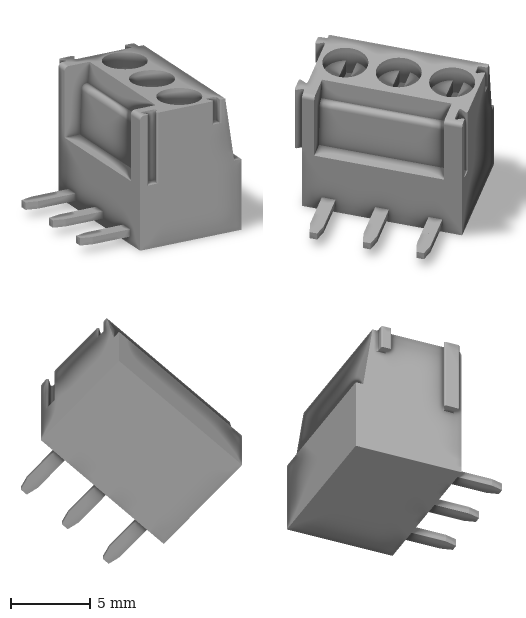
import cadquery as cq

overall_length = 11.1
pitch = 3.5
pole_count = 3
block_length = pole_count * pitch
block_depth = 7.3
block_height = 9.1
front_edge_radius = 0.3

rear_step_height = 4.8
rear_step_y = 6.79
rear_slope_top_y = 6.15

pole_x = [(pole + 0.5) * pitch for pole in range(pole_count)]

recess_left_margin = 0.8
recess_right_margin = 1.2
recess_floor_z = block_height - 4.8
ledge_z = block_height - 1.4
ledge_radius = 0.4
recess_top_y = 1.8
ledge_back_y = 1.65
ledge_front_y = 1.22
recess_floor_back_y = 1.1

screw_diameter = 2.9
screw_y = 3.81
well_depth = 1.04
slot_width = 0.7
slot_depth = 1.0

pin_width = 0.9
pin_tip_width = 0.5
pin_thickness = 0.5
pin_bottom_z = 0.51
pin_length = pitch
pin_taper_length = 0.8

key_depth = overall_length - block_length
key_tip_radius = 0.11
key_root_radius = 0.1
key_flare = 0.38
front_key_y = 0.91
front_key_neck_width = 0.47
front_key_height = 4.8
rear_key_back_y = 5.79
rear_key_neck_width = 0.41
rear_key_height = 1.58
root_search_margin = 0.01


def block_body():
    """Side profile extruded along the full row, with the front top edge rounded."""
    profile = [
        (0, 0),
        (block_depth, 0),
        (block_depth, rear_step_height),
        (rear_step_y, rear_step_height),
        (rear_slope_top_y, block_height),
        (0, block_height),
    ]
    body = cq.Workplane("YZ").polyline(profile).close().extrude(block_length)
    return body.edges("|X and <Y and >Z").fillet(front_edge_radius)


def front_recess():
    """Cutter for the front recess; its back wall carries a ledge with a rounded lip."""
    profile = [
        (0, recess_floor_z),
        (recess_floor_back_y, recess_floor_z),
        (ledge_front_y, ledge_z),
        (ledge_back_y, ledge_z),
        (recess_top_y, block_height),
        (0, block_height),
    ]
    length = block_length - recess_left_margin - recess_right_margin
    cutter = cq.Workplane("YZ", origin=(recess_left_margin, 0, 0)).polyline(profile).close().extrude(length)
    lip = cq.selectors.NearestToPointSelector((block_length / 2, ledge_front_y, ledge_z))
    return cutter.edges("|X").edges(lip).fillet(ledge_radius)


def screw_well(x):
    """Cutter for one round well with the screwdriver slot in its floor."""
    well_floor_z = block_height - well_depth
    well = (
        cq.Workplane("XY", origin=(x, screw_y, well_floor_z))
        .circle(screw_diameter / 2)
        .extrude(well_depth)
    )
    slot_bottom = cq.Workplane("XY", origin=(x, screw_y, well_floor_z - slot_depth))
    slot_disc = slot_bottom.circle(screw_diameter / 2).extrude(slot_depth)
    slot_bar = slot_bottom.rect(slot_width, screw_diameter).extrude(slot_depth)
    return well.union(slot_disc.intersect(slot_bar))


def solder_pin(x):
    """Flat pin leaving the front face, tapered in width towards its tip."""
    taper_y = pin_taper_length - pin_length
    outline = [
        (-pin_width / 2, 0),
        (-pin_width / 2, taper_y),
        (-pin_tip_width / 2, -pin_length),
        (pin_tip_width / 2, -pin_length),
        (pin_width / 2, taper_y),
        (pin_width / 2, 0),
    ]
    return cq.Workplane("XY", origin=(x, 0, pin_bottom_z)).polyline(outline).close().extrude(pin_thickness)


def terminal_row():
    """The whole row before it is divided into sections."""
    row = block_body().cut(front_recess())
    for x in pole_x:
        row = row.cut(screw_well(x)).union(solder_pin(x))
    return row


def section(row, start_x, end_x):
    """The part of the row between two planes across it."""
    y_size = block_depth + pin_length
    slab = cq.Workplane("XY").box(end_x - start_x, y_size, block_height, centered=False)
    return row.intersect(slab.translate((start_x, -pin_length, 0)))


def dovetail(face_x, root_front_y, root_back_y, front_flare, back_flare, height):
    """Upright dovetail reaching key_depth to the left of face_x, down from the top face."""
    tip_x = face_x - key_depth
    outline = [
        (face_x, root_front_y),
        (tip_x, root_front_y - front_flare),
        (tip_x, root_back_y + back_flare),
        (face_x, root_back_y),
    ]
    bottom = cq.Workplane("XY", origin=(0, 0, block_height - height))
    return bottom.polyline(outline).close().extrude(height).edges("|Z and <X").fillet(key_tip_radius)


def dovetails(face_x):
    """The front dovetail, flared on both sides, and the rear one, flared forwards only."""
    half_neck = front_key_neck_width / 2
    front = dovetail(
        face_x, front_key_y - half_neck, front_key_y + half_neck, key_flare, key_flare, front_key_height
    )
    rear = dovetail(
        face_x, rear_key_back_y - rear_key_neck_width, rear_key_back_y, key_flare, 0, rear_key_height
    )
    return front.union(rear)


def round_dovetail_roots(body, face_x):
    """Round the upright edges where the dovetails meet the side face."""
    roots = cq.selectors.BoxSelector(
        (face_x - root_search_margin, root_search_margin, rear_step_height),
        (face_x + root_search_margin, rear_slope_top_y, block_height),
    )
    return body.edges("|Z").edges(roots).fillet(key_root_radius)


def left_end_section(row):
    """End section that carries the dovetail keys."""
    keyed = section(row, 0, pole_x[0]).union(dovetails(0))
    return round_dovetail_roots(keyed, 0)


def middle_section(row):
    """Section between the planes through the first and last poles."""
    return section(row, pole_x[0], pole_x[-1])


def right_end_section(row):
    """End section that carries the dovetail grooves."""
    grooved = section(row, pole_x[-1], block_length).cut(dovetails(block_length))
    return round_dovetail_roots(grooved, block_length)


row = terminal_row()
left_end = left_end_section(row)
middle = middle_section(row)
right_end = right_end_section(row)

result = cq.Compound.makeCompound([left_end.val(), middle.val(), right_end.val()])